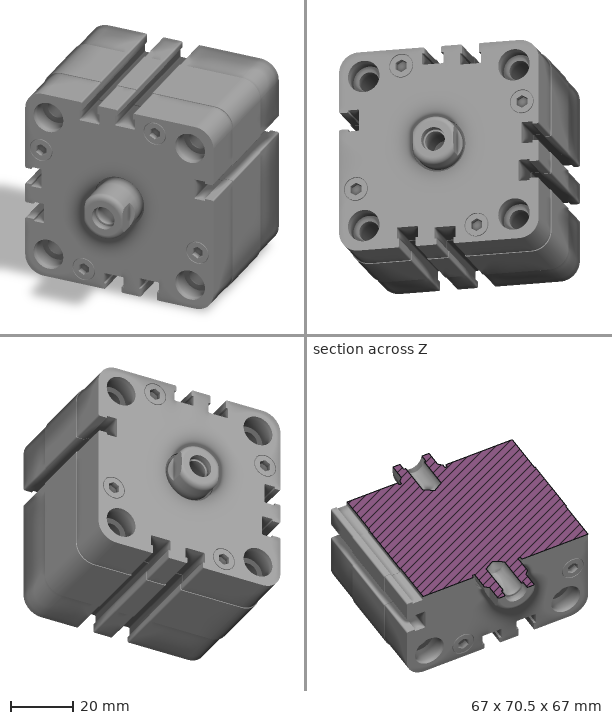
import cadquery as cq
import math

LENGTH = 70.5
FRONT_ROD_REACH = 12.5
REAR_ROD_REACH = 7.25
CAP_LENGTH = 14.8
FRONT_Y = -LENGTH / 2 + FRONT_ROD_REACH
REAR_Y = LENGTH / 2 - REAR_ROD_REACH
TUBE_FRONT_Y = FRONT_Y + CAP_LENGTH
TUBE_REAR_Y = REAR_Y - CAP_LENGTH

TUBE_WIDTH = 67.0
CAP_WIDTH = 66.5
CORNER_RADIUS = 6.5

NECK_WIDTH = 5.35
HEAD_WIDTH = 6.85
CAP_SLOT_WIDENING = 0.2
MOUTH_RADIUS = 0.5
HEAD_RADIUS = 0.35
DEEP_DEPTH = 6.7
SHALLOW_DEPTH = 5.8
DEEP_LIP = 30.25
SHALLOW_LIP = 31.15
DEEP_OFFSET = -10.5
SHALLOW_OFFSET = 2.05

MOUNT_PITCH = 50.05
MOUNT_DIAMETER = 6.6
MOUNT_BORE_DIAMETER = 10.5
MOUNT_BORE_DEPTH = 6.8

SCREW_ACROSS = 12.55
SCREW_OUT = 27.65
SCREW_POCKET_DIAMETER = 8.0
SCREW_HEAD_DIAMETER = 7.5
SCREW_GAP_DEPTH = 0.5
SOCKET_FLATS = 3.7
SOCKET_DEPTH = 2.1

ROD_DIAMETER = 16.0
ROD_EDGE_RADIUS = 1.8
ROD_RECESS_DIAMETER = 17.6
ROD_RECESS_DEPTH = 1.0
FLATS_WIDTH = 13.4
FLATS_LENGTH = 5.7
ROD_BORE_DIAMETER = 8.0
ROD_BORE_DEPTH = 2.6
ROD_THREAD_DIAMETER = 6.6
ROD_THREAD_DEPTH = 14.1
DRILL_TIP_ANGLE = 118.0


def cylinder(diameter, length, x=0.0, z=0.0):
    """Cylinder from the plane y = 0 toward +Y."""
    return cq.Workplane("XZ").center(x, z).circle(diameter / 2).extrude(-length)


def at_both_ends(tool, front, rear):
    """Place a tool that works inward from y = 0 at the front and, mirrored, at the rear."""
    rear_tool = tool.mirror("XZ").translate((0, rear, 0))
    return tool.translate((0, front, 0)).union(rear_tool)


def turned(x, z, quarter):
    """Turn a point about the rod axis by quarter turns."""
    for _ in range(quarter):
        x, z = -z, x
    return x, z


def t_slot(offset, lip, depth, widening, face, length):
    """T-slot cutter for the +Z face at z = face, with a rounded mouth and head corners."""
    neck = (NECK_WIDTH + widening) / 2
    head = (HEAD_WIDTH + widening) / 2
    floor = face - depth
    mouth_mid = MOUTH_RADIUS * (1 - math.sqrt(0.5))
    head_mid = HEAD_RADIUS * (1 - math.sqrt(0.5))
    return (
        cq.Workplane("XZ")
        .center(offset, 0)
        .moveTo(-neck - MOUTH_RADIUS, face)
        .threePointArc((-neck - mouth_mid, face - mouth_mid), (-neck, face - MOUTH_RADIUS))
        .lineTo(-neck, lip)
        .lineTo(-head, lip)
        .lineTo(-head, floor + HEAD_RADIUS)
        .threePointArc((-head + head_mid, floor + head_mid), (-head + HEAD_RADIUS, floor))
        .lineTo(head - HEAD_RADIUS, floor)
        .threePointArc((head - head_mid, floor + head_mid), (head, floor + HEAD_RADIUS))
        .lineTo(head, lip)
        .lineTo(neck, lip)
        .lineTo(neck, face - MOUTH_RADIUS)
        .threePointArc((neck + mouth_mid, face - mouth_mid), (neck + MOUTH_RADIUS, face))
        .close()
        .extrude(-length)
    )


def section(width, slot_widening, start, end):
    """Slotted length of the body from y = start to y = end."""
    length = end - start
    face = width / 2
    block = cq.Workplane("XZ").rect(width, width).extrude(-length)
    block = block.edges("|Y").fillet(CORNER_RADIUS)
    deep = t_slot(DEEP_OFFSET, DEEP_LIP, DEEP_DEPTH, slot_widening, face, length)
    shallow = t_slot(SHALLOW_OFFSET, SHALLOW_LIP, SHALLOW_DEPTH, slot_widening, face, length)
    for turn in (0, 90, 180, 270):
        block = block.cut(deep.rotate((0, 0, 0), (0, 1, 0), turn))
        if turn != 90:
            block = block.cut(shallow.rotate((0, 0, 0), (0, 1, 0), turn))
    return block.translate((0, start, 0))


def mounting_holes():
    """Through holes in the four corners, counterbored from both caps."""
    half = MOUNT_PITCH / 2
    holes = cq.Workplane("XZ")
    for x in (-half, half):
        for z in (-half, half):
            drill = cylinder(MOUNT_DIAMETER, REAR_Y - FRONT_Y, x, z).translate((0, FRONT_Y, 0))
            bore = cylinder(MOUNT_BORE_DIAMETER, MOUNT_BORE_DEPTH, x, z)
            holes = holes.add(drill.union(at_both_ends(bore, FRONT_Y, REAR_Y)))
    return holes.combine()


def screw_cuts():
    """Gap around each flush screw head and its hexagon socket, in both caps."""
    cuts = cq.Workplane("XZ")
    socket_corners = SOCKET_FLATS / math.cos(math.pi / 6)
    for quarter in range(4):
        x, z = turned(SCREW_ACROSS, SCREW_OUT, quarter)
        gap = cylinder(SCREW_POCKET_DIAMETER, SCREW_GAP_DEPTH, x, z)
        gap = gap.cut(cylinder(SCREW_HEAD_DIAMETER, SCREW_GAP_DEPTH, x, z))
        socket = cq.Workplane("XZ").polygon(6, socket_corners).extrude(-SOCKET_DEPTH)
        socket = socket.rotate((0, 0, 0), (0, 1, 0), 30).translate((x, 0, z))
        cuts = cuts.add(at_both_ends(gap, FRONT_Y, REAR_Y)).add(at_both_ends(socket, FRONT_Y, REAR_Y))
    return cuts.combine()


def wrench_flats():
    """Two flats with sloping shoulders at one rod end."""
    rod = ROD_DIAMETER / 2
    flat = FLATS_WIDTH / 2
    shoulder = FLATS_LENGTH + rod - flat
    side = (
        cq.Workplane("XY")
        .polyline([(flat, 0), (rod, 0), (rod, shoulder), (flat, FLATS_LENGTH)])
        .close()
        .extrude(rod, both=True)
    )
    return side.union(side.mirror("YZ"))


def rod_hole():
    """Stepped blind hole with a drill tip in one rod end."""
    tip = ROD_THREAD_DIAMETER / 2 / math.tan(math.radians(DRILL_TIP_ANGLE / 2))
    return (
        cq.Workplane("XY")
        .polyline([
            (0, 0),
            (ROD_BORE_DIAMETER / 2, 0),
            (ROD_BORE_DIAMETER / 2, ROD_BORE_DEPTH),
            (ROD_THREAD_DIAMETER / 2, ROD_BORE_DEPTH),
            (ROD_THREAD_DIAMETER / 2, ROD_THREAD_DEPTH),
            (0, ROD_THREAD_DEPTH + tip),
        ])
        .close()
        .revolve(360, (0, 0, 0), (0, 1, 0))
    )


def piston_rod():
    """Rod with rounded ends and wrench flats."""
    rod = cylinder(ROD_DIAMETER, LENGTH).translate((0, -LENGTH / 2, 0))
    rod = rod.edges("%CIRCLE").fillet(ROD_EDGE_RADIUS)
    return rod.cut(at_both_ends(wrench_flats(), -LENGTH / 2, LENGTH / 2))


body = section(TUBE_WIDTH, 0, TUBE_FRONT_Y, TUBE_REAR_Y)
body = body.union(section(CAP_WIDTH, CAP_SLOT_WIDENING, FRONT_Y, TUBE_FRONT_Y))
body = body.union(section(CAP_WIDTH, CAP_SLOT_WIDENING, TUBE_REAR_Y, REAR_Y))
body = body.cut(mounting_holes()).cut(screw_cuts())
body = body.cut(at_both_ends(cylinder(ROD_RECESS_DIAMETER, ROD_RECESS_DEPTH), FRONT_Y, REAR_Y))

result = body.union(piston_rod()).cut(at_both_ends(rod_hole(), -LENGTH / 2, LENGTH / 2))